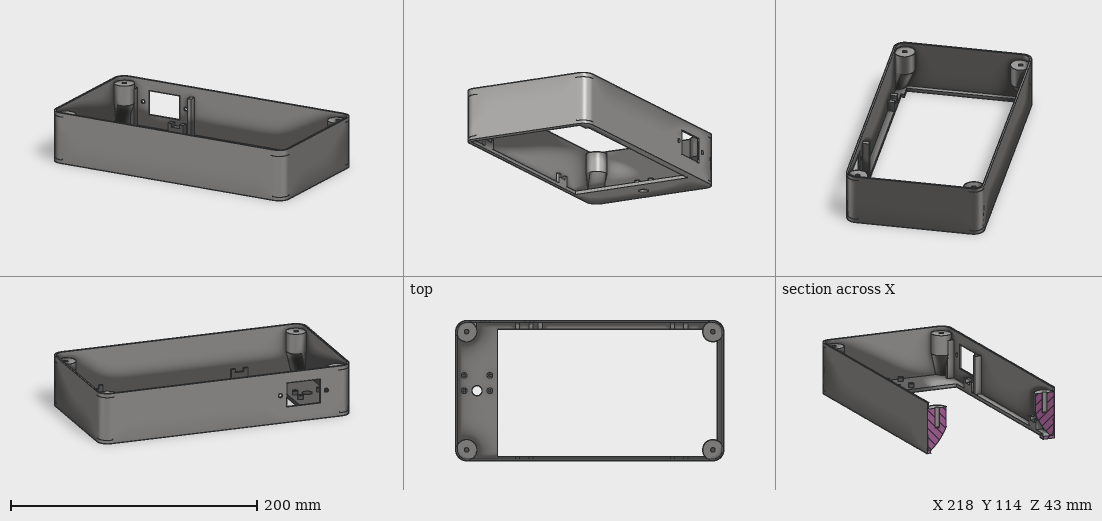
import cadquery as cq
import math

LENGTH = 218.0
WIDTH = 114.0
HEIGHT = 43.0
CORNER_RADIUS = 9.0
WALL = 1.5
PLATE = 2.8
HALF_LENGTH = LENGTH / 2
HALF_WIDTH = WIDTH / 2
BACK_INSIDE = HALF_WIDTH - WALL

WINDOW_LEFT = -74.8
WINDOW_RIGHT = 103.5
WINDOW_FRONT = -53.6
WINDOW_BACK = 50.0
TAB_LEFT = 93.5
TAB_FRONT = 47.0

SHAFT_X = -91.5
SHAFT_DIAMETER = 8.0
BOSS_DIAMETER = 4.5
BOSS_HOLE_DIAMETER = 2.0
BOSS_HEIGHT = 3.0
BOSS_SPACING_X = 21.0
BOSS_SPACING_Y = 12.5

SOCKET_X = -67.0
SOCKET_Z = 23.5
SOCKET_WIDTH = 29.0
SOCKET_HEIGHT = 20.5
SOCKET_HOLE_SPACING = 40.0
SOCKET_HOLE_DIAMETER = 3.3
FLANGE_WIDTH = 50.0
RIB_WIDTH = 3.5
RIB_TOP = 34.9

CLIP_CENTRES_X = (-53.2, 72.5)
CLIP_WIDTH = 14.4
CLIP_TOP = 11.1
CLIP_SLOT_WIDTH = 7.5
CLIP_SLOT_FLOOR = 8.0

POST_X = HALF_LENGTH - CORNER_RADIUS
POST_Y = HALF_WIDTH - CORNER_RADIUS
POST_DIAMETER = 16.8
POST_RADIUS = POST_DIAMETER / 2
POST_HOLE_DIAMETER = 3.7
POST_TOP = 39.5
POST_TAPER_TOP = 22.7
FRONT_RIGHT_POST_DROP = 1.7
TOE_REACH = 3.0
TOE_ANGLES = (19.0, 55.0)
TAPER_TOP_ANGLES = (45.0, 125.0)


def box(x_range, y_range, z_range):
    """Box given by its limits along X, Y and Z."""
    size = [high - low for low, high in (x_range, y_range, z_range)]
    corner = (x_range[0], y_range[0], z_range[0])
    return cq.Workplane("XY").box(*size, centered=False).translate(corner)


def make_shell():
    """Open rounded tray: bottom plate and surrounding wall."""
    outside = cq.Workplane("XY").rect(LENGTH, WIDTH).extrude(HEIGHT).edges("|Z").fillet(CORNER_RADIUS)
    inside = (
        cq.Workplane("XY", origin=(0, 0, PLATE))
        .rect(LENGTH - 2 * WALL, WIDTH - 2 * WALL)
        .extrude(HEIGHT)
        .edges("|Z")
        .fillet(CORNER_RADIUS - WALL)
    )
    return outside.cut(inside)


def make_window():
    """Cutter for the window, which leaves a tab at its back right corner."""
    window = box((WINDOW_LEFT, WINDOW_RIGHT), (WINDOW_FRONT, WINDOW_BACK), (0, PLATE))
    tab = box((TAB_LEFT, WINDOW_RIGHT), (TAB_FRONT, WINDOW_BACK), (0, PLATE))
    return window.cut(tab)


def make_clip(centre_x, y_range):
    """Block with a slot across its top."""
    half = CLIP_WIDTH / 2
    half_slot = CLIP_SLOT_WIDTH / 2
    block = box((centre_x - half, centre_x + half), y_range, (PLATE, CLIP_TOP))
    slot = box((centre_x - half_slot, centre_x + half_slot), y_range, (CLIP_SLOT_FLOOR, CLIP_TOP))
    return block.cut(slot)


def make_shaft_hole():
    """Cutter for the shaft hole through the bottom plate."""
    return cq.Workplane("XY").center(SHAFT_X, 0).circle(SHAFT_DIAMETER / 2).extrude(PLATE)


def make_bosses():
    """Four small hollow bosses: two beside the shaft hole and two behind those."""
    points = [
        (SHAFT_X + side * BOSS_SPACING_X / 2, y)
        for side in (-1, 1)
        for y in (0, BOSS_SPACING_Y)
    ]
    return (
        cq.Workplane("XY", origin=(0, 0, PLATE))
        .pushPoints(points)
        .circle(BOSS_DIAMETER / 2)
        .circle(BOSS_HOLE_DIAMETER / 2)
        .extrude(BOSS_HEIGHT)
    )


def make_socket_cutter():
    """Cutter for the rectangular socket opening and the screw hole on each side of it."""
    opening = box(
        (SOCKET_X - SOCKET_WIDTH / 2, SOCKET_X + SOCKET_WIDTH / 2),
        (BACK_INSIDE, HALF_WIDTH),
        (SOCKET_Z - SOCKET_HEIGHT / 2, SOCKET_Z + SOCKET_HEIGHT / 2),
    )
    holes = (
        cq.Workplane("XZ", origin=(SOCKET_X, HALF_WIDTH, SOCKET_Z))
        .pushPoints([(side * SOCKET_HOLE_SPACING / 2, 0) for side in (-1, 1)])
        .circle(SOCKET_HOLE_DIAMETER / 2)
        .extrude(WALL)
    )
    return opening.union(holes)


def make_rib(side):
    """Upright rib at one end of the socket flange; side is -1 for left and 1 for right."""
    inner = SOCKET_X + side * FLANGE_WIDTH / 2
    outer = inner + side * RIB_WIDTH
    return box((min(inner, outer), max(inner, outer)), (WINDOW_BACK, BACK_INSIDE), (PLATE, RIB_TOP))


def make_housing():
    """Tray with its window, holes, bosses, ribs and clips."""
    housing = make_shell().cut(make_window()).cut(make_shaft_hole()).cut(make_socket_cutter())
    housing = housing.union(make_bosses())
    for side in (-1, 1):
        housing = housing.union(make_rib(side))
    for centre_x in CLIP_CENTRES_X:
        housing = housing.union(make_clip(centre_x, (WINDOW_BACK, HALF_WIDTH)))
        housing = housing.union(make_clip(centre_x, (-HALF_WIDTH, WINDOW_FRONT)))
    return housing


def arc_point(angle, z):
    """Point on the post's circle, at an angle in degrees from the direction towards the case corner."""
    turn = math.radians(angle)
    return cq.Vector(POST_RADIUS * math.cos(turn), POST_RADIUS * math.sin(turn), z)


def lens(half_angles, inner_point):
    """Closed wire: three arcs of the post's circle facing the corner and one arc on the inner side."""
    z = inner_point.z
    face, whole = half_angles
    stops = (-whole, -face, face, whole)
    edges = [
        cq.Edge.makeThreePointArc(arc_point(start, z), arc_point((start + end) / 2, z), arc_point(end, z))
        for start, end in zip(stops, stops[1:])
    ]
    edges.append(cq.Edge.makeThreePointArc(arc_point(whole, z), inner_point, arc_point(-whole, z)))
    return cq.Wire.assembleEdges(edges)


def make_post(side_x, side_y, drop):
    """Round post whose lower part slopes back to a toe in the corner."""
    top = POST_TOP - drop
    taper_top = POST_TAPER_TOP - drop
    taper = cq.Solid.makeLoft(
        [
            lens(TOE_ANGLES, cq.Vector(TOE_REACH, 0, PLATE)),
            lens(TAPER_TOP_ANGLES, arc_point(180, taper_top)),
        ],
        True,
    )
    round_part = cq.Workplane("XY", origin=(0, 0, taper_top)).circle(POST_RADIUS).extrude(top - taper_top)
    hole = (
        cq.Workplane("XY", origin=(0, 0, taper_top))
        .circle(POST_HOLE_DIAMETER / 2)
        .extrude(top - taper_top)
    )
    post = round_part.union(cq.Workplane(taper)).cut(hole)
    corner_angle = math.degrees(math.atan2(side_y, side_x))
    return post.rotate((0, 0, 0), (0, 0, 1), corner_angle).translate((side_x * POST_X, side_y * POST_Y, 0))


posts = []
for side_x in (-1, 1):
    for side_y in (-1, 1):
        is_front_right = side_x > 0 and side_y < 0
        drop = FRONT_RIGHT_POST_DROP if is_front_right else 0
        posts.append(make_post(side_x, side_y, drop))

housing = make_housing()
for post in posts:
    housing = housing.cut(post)

result = cq.Compound.makeCompound([housing.val(), *[post.val() for post in posts]])